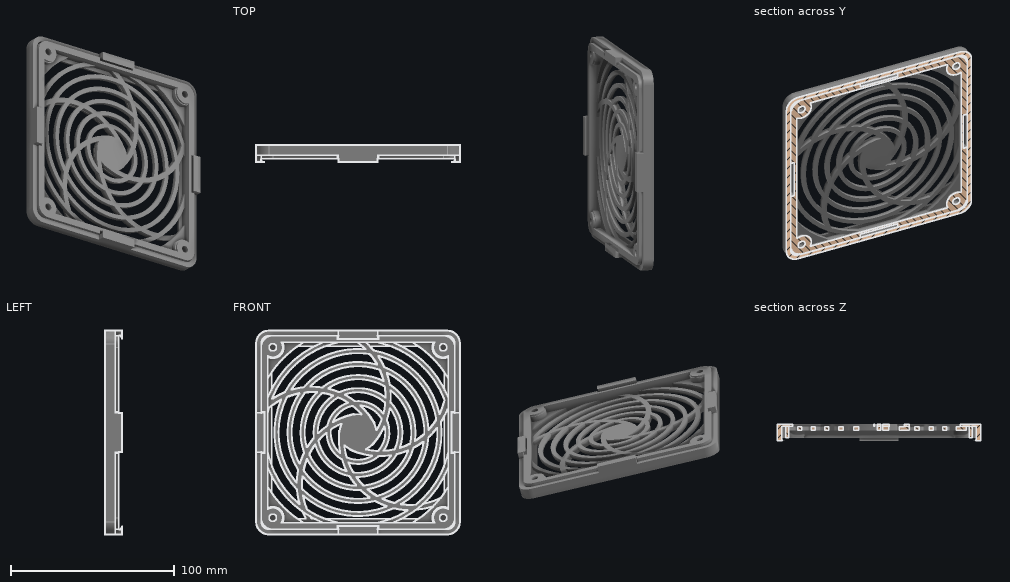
import cadquery as cq
import math


cover_size = 125.2
cover_corner_radius = 8.0
rim_thickness = 3.2
cover_depth = 6.5
cavity_size = cover_size - 2 * rim_thickness
cavity_corner_radius = 5.0
cover_floor = 1.5
cover_window = 105.6

tab_width = 24.2
tab_depth = 10.6
hook_height = 0.8
hook_reach = 2.0

retainer_depth = 8.6
retainer_corner_radius = 7.0
retainer_window = 110.6
grille_thickness = 2.5
grille_front = cover_floor + grille_thickness
notch_side_clearance = 0.5
notch_end_clearance = 0.2
notch_width = tab_width + 2 * notch_side_clearance
notch_reach = hook_reach + notch_end_clearance

screw_spacing = 104.5
screw_hole_diameter = 4.5
boss_radius = 6.7
boss_tip_radius = 6.1
boss_tip_height = 1.2

ring_pitch = 8.0
ring_width = 2.7
ring_count = 6
hub_center_radius = 10.0
hub_radius = hub_center_radius + ring_width / 2
last_ring_radius = hub_center_radius + ring_count * ring_pitch
corner_radius = last_ring_radius + ring_pitch - ring_width / 2
arm_count = 5
arm_width = 3.2
arm_sweep = math.radians(130)
cover_arm_radius = 42.8
cover_arm_center = (-24.4, 21.6)
retainer_arm_radius = 41.9
retainer_arm_center = (-23.3, 22.15)

side_count = 4


def sketch_at(depth):
    """Workplane facing -Y at the given depth from the back face."""
    return cq.Workplane("XZ", origin=(0, -depth, 0))


def plate(width, height, start, end):
    """Box centred on the Y axis that fills the depths from start to end."""
    return sketch_at(start).rect(width, height).extrude(end - start)


def disc(radius, start, end, center=(0, 0)):
    """Cylinder along Y that fills the depths from start to end."""
    return sketch_at(start).center(*center).circle(radius).extrude(end - start)


def ring(middle_radius, start, end):
    """Round grille bar that fills the depths from start to end."""
    half_width = ring_width / 2
    outline = sketch_at(start).circle(middle_radius + half_width).circle(middle_radius - half_width)
    return outline.extrude(end - start)


def turned(body, angle):
    """Body turned about the Y axis."""
    return body.rotate((0, 0, 0), (0, -1, 0), angle)


def arm(start, end, arm_radius, arm_center):
    """Circular arc from beside the hub centre out past the edge of the opening."""
    first = math.atan2(-arm_center[1], -arm_center[0])
    middle = first + arm_sweep / 2
    last = first + arm_sweep
    inner = arm_radius - arm_width / 2
    outer = arm_radius + arm_width / 2

    def point(radius, angle):
        x = arm_center[0] + radius * math.cos(angle)
        z = arm_center[1] + radius * math.sin(angle)
        return (x, z)

    return (
        sketch_at(start)
        .moveTo(*point(inner, first))
        .threePointArc(point(inner, middle), point(inner, last))
        .lineTo(*point(outer, last))
        .threePointArc(point(outer, middle), point(outer, first))
        .close()
        .extrude(end - start)
    )


def grille(opening, start, end, arm_radius, arm_center, rings, arm_limit):
    """Hub, arms, rings and solid corners that fill a square opening."""
    bars = disc(hub_radius, start, end)
    for index in range(arm_count):
        bars = bars.union(turned(arm(start, end, arm_radius, arm_center), index * 360 / arm_count))
    bars = bars.intersect(disc(arm_limit, start, end))
    for number in range(1, rings + 1):
        bars = bars.union(ring(hub_center_radius + number * ring_pitch, start, end))
    corners = plate(opening, opening, start, end).cut(disc(corner_radius, start, end))
    return bars.intersect(plate(opening, opening, start, end)).union(corners)


def snap_tab():
    """Tab on the +Z side with a sloped hook at its tip."""
    outer = cover_size / 2
    inner = outer - rim_thickness
    return (
        cq.Workplane("YZ", origin=(-tab_width / 2, 0, 0))
        .polyline([
            (-cover_depth, outer),
            (-tab_depth, outer),
            (-tab_depth, inner - hook_reach),
            (-tab_depth + hook_height, inner),
            (-cover_depth, inner),
        ])
        .close()
        .extrude(tab_width)
    )


def make_cover():
    """Shallow tray with an arm grille in its floor and four snap tabs."""
    body = plate(cover_size, cover_size, 0, cover_depth).edges("|Y").fillet(cover_corner_radius)
    cavity = plate(cavity_size, cavity_size, cover_floor, cover_depth)
    body = body.cut(cavity.edges("|Y").fillet(cavity_corner_radius))
    body = body.cut(plate(cover_window, cover_window, 0, cover_floor))
    arms = grille(
        cover_window, 0, cover_floor, cover_arm_radius, cover_arm_center,
        rings=0, arm_limit=cover_size,
    )
    body = body.union(arms)
    for side in range(side_count):
        body = body.union(turned(snap_tab(), side * 360 / side_count))
    return body


def make_retainer():
    """Frame with a ring grille, four screw bosses and a notch for each snap tab."""
    body = plate(cavity_size, cavity_size, cover_floor, retainer_depth)
    body = body.edges("|Y").fillet(retainer_corner_radius)
    body = body.cut(plate(retainer_window, retainer_window, cover_floor, retainer_depth))
    rings_and_arms = grille(
        retainer_window, cover_floor, grille_front, retainer_arm_radius, retainer_arm_center,
        rings=ring_count, arm_limit=last_ring_radius + ring_width / 2,
    )
    body = body.union(rings_and_arms)
    offset = screw_spacing / 2
    for x in (-offset, offset):
        for z in (-offset, offset):
            body = body.union(disc(boss_radius, cover_floor, retainer_depth - boss_tip_height, (x, z)))
            body = body.union(disc(boss_tip_radius, cover_floor, retainer_depth, (x, z)))
            body = body.cut(disc(screw_hole_diameter / 2, cover_floor, retainer_depth, (x, z)))
    notch = plate(notch_width, notch_reach, cover_floor, retainer_depth)
    notch = notch.translate((0, 0, cavity_size / 2 - notch_reach / 2))
    for side in range(side_count):
        body = body.cut(turned(notch, side * 360 / side_count))
    return body


cover = make_cover()
retainer = make_retainer()

result = cq.Compound.makeCompound([cover.val(), retainer.val()])